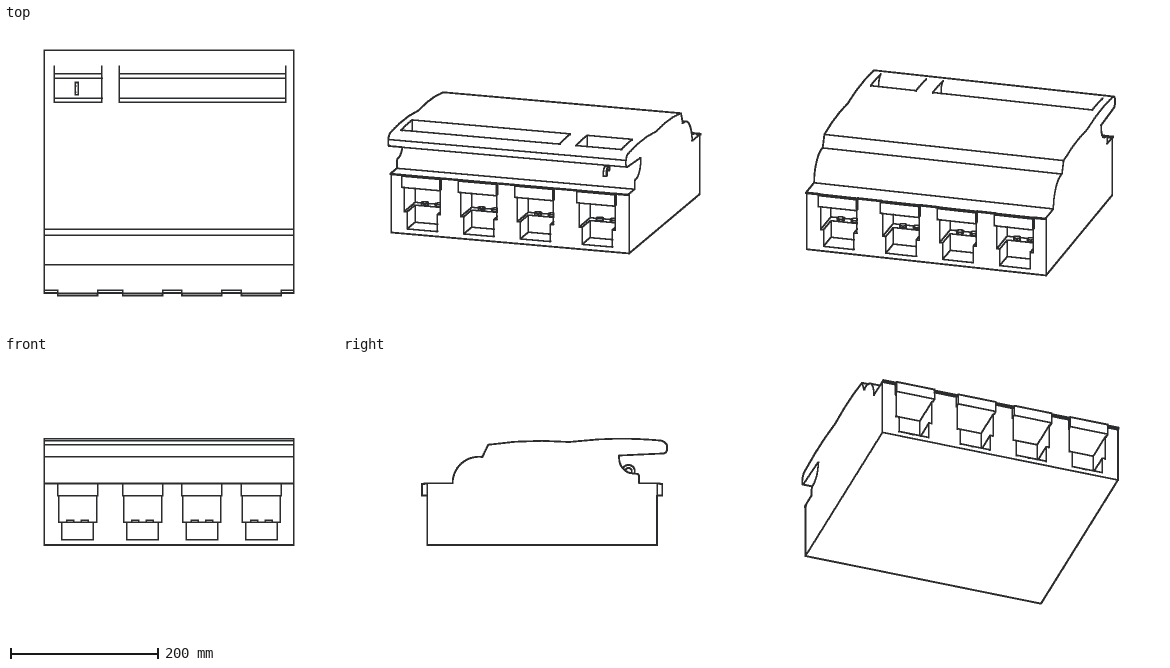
import cadquery as cq
import math

width = 339.5
base_depth = 312.7
shelf_z = 84.2

plate_thickness = 1.0
plate_overhang = 3.7

roll_radius = 36.0
roll_center_y = 70.5
roll_end_angle = 83.0

brow_y = 83.2
brow_z = 136.5
front_crown_y = 139.2
front_crown_z = 141.5
valley_y = 193.0
valley_z = 140.2
rear_crown_y = 258.0
rear_crown_z = 144.5
handle_edge_y = 316.5
handle_edge_z = 142.3

handle_tip_y = 326.3
tip_top_z = 135.0
tip_bottom_z = 130.5
tip_radius = 6.0
handle_bottom_z = tip_bottom_z - tip_radius
handle_root_z = 121.5

step_y = 288.2
step_z = 97.0
step_edge_radius = 4.0
hollow_radius = 20.7
hollow_center_y = 281.8
handle_root_y = hollow_center_y - hollow_radius

windows = [(14.0, 78.5), (102.2, 328.3)]
window_front_y = 255.3
window_rear_y = 305.5
grip_radius = 11.2
grip_top_z = 143.3
window_clearance = 3.5

ring_x = 42.5
ring_width = 4.0
ring_center_y = 273.5
ring_center_z = 100.0
ring_outer_radius = 8.8
ring_inner_radius = 4.5

first_socket_x = 45.5
second_socket_x = 133.8
socket_pitch = 80.8
socket_centers = [first_socket_x] + [second_socket_x + i * socket_pitch for i in range(3)]
lip_width = 54.3
lip_bottom_z = 67.2
lip_top_z = shelf_z - plate_thickness
lip_reach = 7.0
upper_width = 51.5
upper_depth = 49.0
lower_width = 43.0
lower_depth = 35.3
socket_floor_z = 7.0
socket_ledge_z = 31.2
pin_spacing = 19.7
pin_diameter = 9.0
pin_height = 2.7


def block(x_center, x_size, y_min, y_max, z_min, z_max):
    """Box centred across X on x_center, given by its limits in Y and Z."""
    box = cq.Workplane("XY").box(x_size, y_max - y_min, z_max - z_min, centered=(True, False, False))
    return box.translate((x_center, y_min, z_min))


def arc_point(center_y, center_z, radius, degrees):
    """Point (y, z) on a circle, with the angle measured from +Y toward +Z."""
    angle = math.radians(degrees)
    return center_y + radius * math.cos(angle), center_z + radius * math.sin(angle)


def make_body():
    """Base and cover as one side outline pulled across the full width."""
    hollow_center_z = step_z + hollow_radius
    step_round_y = step_y - step_edge_radius
    tip_round_y = handle_tip_y - tip_radius
    outline = (
        cq.Workplane("YZ")
        .moveTo(0, 0)
        .lineTo(0, shelf_z)
        .lineTo(roll_center_y - roll_radius, shelf_z)
        .threePointArc(
            arc_point(roll_center_y, shelf_z, roll_radius, 135),
            arc_point(roll_center_y, shelf_z, roll_radius, roll_end_angle),
        )
        .lineTo(brow_y, brow_z)
        .threePointArc((front_crown_y, front_crown_z), (valley_y, valley_z))
        .threePointArc((rear_crown_y, rear_crown_z), (handle_edge_y, handle_edge_z))
        .tangentArcPoint((handle_tip_y, tip_top_z), relative=False)
        .lineTo(handle_tip_y, tip_bottom_z)
        .threePointArc(
            arc_point(tip_round_y, tip_bottom_z, tip_radius, -45),
            (tip_round_y, handle_bottom_z),
        )
        .lineTo(handle_root_y, handle_root_z)
        .lineTo(handle_root_y, hollow_center_z)
        .threePointArc(
            arc_point(hollow_center_y, hollow_center_z, hollow_radius, 225),
            (hollow_center_y, step_z),
        )
        .lineTo(step_round_y, step_z)
        .threePointArc(
            arc_point(step_round_y, step_z - step_edge_radius, step_edge_radius, 45),
            (step_y, step_z - step_edge_radius),
        )
        .lineTo(step_y, shelf_z)
        .lineTo(base_depth, shelf_z)
        .lineTo(base_depth, 0)
        .close()
    )
    return outline.extrude(width)


def make_plate():
    """Plate level with the shelf; only its front and rear edges stand out from the base."""
    return block(
        width / 2, width,
        -plate_overhang, base_depth + plate_overhang,
        shelf_z - plate_thickness, shelf_z,
    )


def make_window(left_x, right_x):
    """Cutter for a grip window; its rear wall is rounded over to form the grip bar."""
    bar_front_y = window_rear_y - grip_radius
    bar_center_z = grip_top_z - grip_radius
    above_z = rear_crown_z + window_clearance
    profile = (
        cq.Workplane("YZ", origin=(left_x, 0, 0))
        .moveTo(window_front_y, handle_root_z)
        .lineTo(window_front_y, above_z)
        .lineTo(window_rear_y, above_z)
        .lineTo(window_rear_y, grip_top_z)
        .threePointArc(
            arc_point(window_rear_y, bar_center_z, grip_radius, 135),
            (bar_front_y, bar_center_z),
        )
        .lineTo(bar_front_y, handle_root_z)
        .close()
    )
    return profile.extrude(right_x - left_x)


def make_ring():
    """Seal ring; its lower part merges into the floor of the hollow."""
    return (
        cq.Workplane("YZ", origin=(ring_x, ring_center_y, ring_center_z))
        .circle(ring_outer_radius)
        .circle(ring_inner_radius)
        .extrude(ring_width)
    )


def make_socket(x):
    """Cutter for a front socket: wide upper chamber, narrower lower one, two pins on the ledge."""
    upper = block(x, upper_width, 0, upper_depth, socket_ledge_z, lip_bottom_z)
    lower = block(x, lower_width, 0, lower_depth, socket_floor_z, socket_ledge_z)
    ledge_middle_y = (lower_depth + upper_depth) / 2
    pins = (
        cq.Workplane("XY", origin=(x, ledge_middle_y, socket_ledge_z))
        .pushPoints([(-pin_spacing / 2, 0), (pin_spacing / 2, 0)])
        .circle(pin_diameter / 2)
        .extrude(pin_height)
    )
    return upper.union(lower).cut(pins)


def make_lip(x):
    """Lip above a front socket, projecting from the wall."""
    return block(x, lip_width, -lip_reach, 0, lip_bottom_z, lip_top_z)


def to_rear(shape):
    """Mirror a front feature onto the rear wall."""
    return shape.mirror("XZ", basePointVector=(0, base_depth / 2, 0))


result = make_body().union(make_plate())

for left_x, right_x in windows:
    result = result.cut(make_window(left_x, right_x))

result = result.union(make_ring())

for socket_x in socket_centers:
    socket = make_socket(socket_x)
    lip = make_lip(socket_x)
    result = result.cut(socket).cut(to_rear(socket))
    result = result.union(lip).union(to_rear(lip))